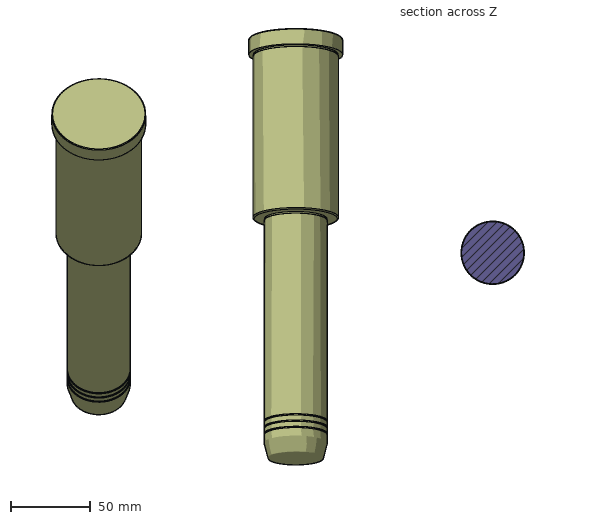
import cadquery as cq

total_length = 271.0
head_height = 10.0
body_bottom = 155.0
nose_height = 10.0
body_top = total_length - head_height

head_diameter = 59.0
body_diameter = 54.0
shaft_diameter = 39.8
tip_diameter = 34.7

head_chamfer = 0.5
body_chamfer = 0.8
tip_fillet = 0.8

neck_height = 1.0
neck_depth = 0.3

groove_count = 3
groove_pitch = 4.0
groove_width = 0.8
groove_depth = 0.3
lowest_groove_bottom = 15.5


def cylinder(diameter, bottom, top):
    """Round bar on the Z axis between two heights."""
    return cq.Workplane("XY").workplane(offset=bottom).circle(diameter / 2).extrude(top - bottom)


def ring_groove(diameter, bottom, width, depth):
    """Ring that cuts a square groove into a bar of the given diameter."""
    outer = cylinder(diameter + 2 * depth, bottom, bottom + width)
    return outer.cut(cylinder(diameter - 2 * depth, bottom, bottom + width))


def make_head():
    """Flat head with a small chamfer around its top face."""
    head = cylinder(head_diameter, body_top, total_length)
    return head.faces(">Z").edges().chamfer(head_chamfer)


def make_body():
    """Thick body with a chamfered lower end and a shallow neck under the head."""
    body = cylinder(body_diameter, body_bottom, body_top)
    body = body.faces("<Z").edges().chamfer(body_chamfer)
    return body.cut(ring_groove(body_diameter, body_top - neck_height, neck_height, neck_depth))


def make_shaft():
    """Thin shaft with a neck under the body and ring grooves above the nose."""
    shaft = cylinder(shaft_diameter, nose_height, body_bottom)
    shaft = shaft.cut(ring_groove(shaft_diameter, body_bottom - neck_height, neck_height, neck_depth))
    for index in range(groove_count):
        bottom = lowest_groove_bottom + index * groove_pitch
        shaft = shaft.cut(ring_groove(shaft_diameter, bottom, groove_width, groove_depth))
    return shaft


def make_nose():
    """Tapered lead-in with a rounded tip edge."""
    base = cq.Workplane("XY").circle(tip_diameter / 2)
    nose = base.workplane(offset=nose_height).circle(shaft_diameter / 2).loft(ruled=True)
    return nose.faces("<Z").edges().fillet(tip_fillet)


result = make_head().union(make_body()).union(make_shaft()).union(make_nose())